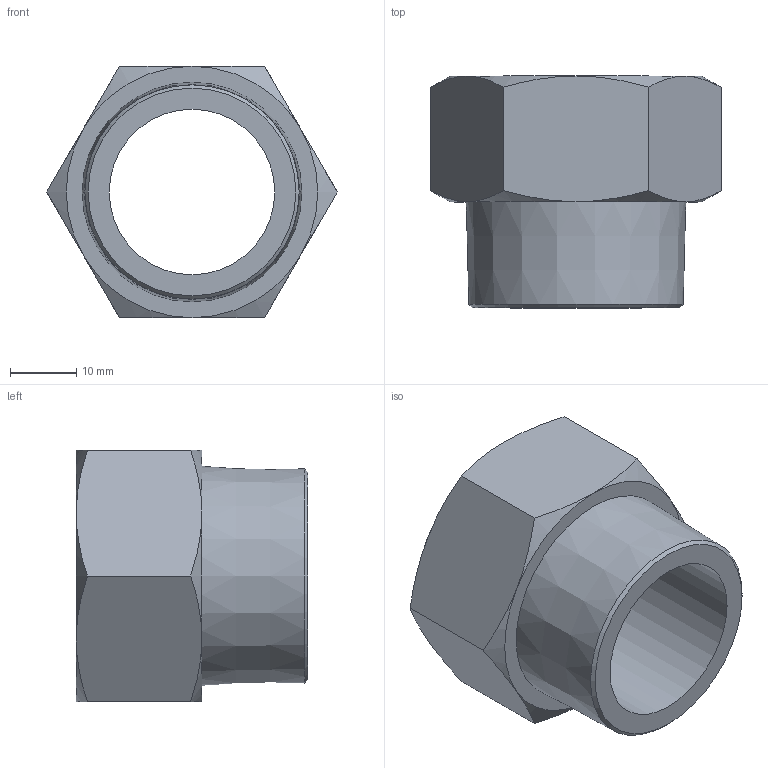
import cadquery as cq
import math

hex_sides = 6
across_flats = 38.0
hex_length = 19.0
spigot_length = 16.0
bore_diameter = 25.0
root_diameter = 33.15
taper_ratio = 1 / 20
tip_chamfer = 0.5
corner_chamfer_angle = 30.0

total_length = hex_length + spigot_length
across_corners = across_flats / math.cos(math.pi / hex_sides)
flat_radius = across_flats / 2
corner_radius = across_corners / 2
corner_chamfer_depth = (corner_radius - flat_radius) * math.tan(math.radians(corner_chamfer_angle))
root_radius = root_diameter / 2
tip_radius = root_radius - (spigot_length - tip_chamfer) * taper_ratio / 2


def revolve_about_y(profile_points):
    """Revolve a closed (radius, y) profile a full turn about the Y axis."""
    profile = cq.Workplane("XY").polyline(profile_points).close()
    return profile.revolve(360, (0, 0, 0), (0, 1, 0))


def chamfered_hexagon():
    """Hexagon from y = 0 to y = hex_length with turned chamfers on both ends."""
    prism = cq.Workplane("XZ").polygon(hex_sides, across_corners).extrude(-hex_length)
    chamfer_envelope = revolve_about_y([
        (0, 0),
        (flat_radius, 0),
        (corner_radius, corner_chamfer_depth),
        (corner_radius, hex_length - corner_chamfer_depth),
        (flat_radius, hex_length),
        (0, hex_length),
    ])
    return prism.intersect(chamfer_envelope)


def tapered_spigot():
    """Cone narrowing from the hexagon toward -Y, with a chamfered free end."""
    return revolve_about_y([
        (0, 0),
        (root_radius, 0),
        (tip_radius, tip_chamfer - spigot_length),
        (tip_radius - tip_chamfer, -spigot_length),
        (0, -spigot_length),
    ])


def through_bore():
    """Straight cylinder along Y through the whole part."""
    bore = cq.Workplane("XZ").circle(bore_diameter / 2).extrude(-total_length)
    return bore.translate((0, -spigot_length, 0))


result = chamfered_hexagon().union(tapered_spigot()).cut(through_bore())